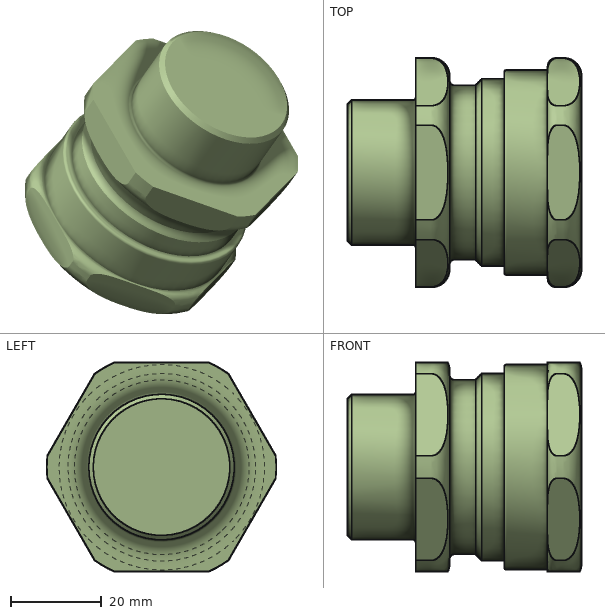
import cadquery as cq
import math

TOTAL_LENGTH = 51.5
ACROSS_FLATS = 46.0
ACROSS_CORNERS = 50.45

STUB_DIAMETER = 32.0
STUB_CHAMFER = 1.0
STUB_FILLET = 0.5
NECK_DIAMETER = 38.4
NECK_FILLET = 1.0
HEX_THICKNESS = 7.5
HEX_OUTER_ROUND = 4.0
HEX_INNER_ROUND = 2.0

COLLAR_DIAMETER = 41.25
SLEEVE_DIAMETER = 45.15
SLEEVE_ROUND = 0.55

HEX_START = 15.0
COLLAR_START = 28.15
SLEEVE_START = 34.45
HEX_END = HEX_START + HEX_THICKNESS
NUT_START = TOTAL_LENGTH - HEX_THICKNESS

COLLAR_CHAMFER = (COLLAR_DIAMETER - NECK_DIAMETER) / 2


def disc(diameter, start, end):
    """Solid cylinder along X between two stations."""
    return cq.Workplane("YZ").workplane(offset=start).circle(diameter / 2).extrude(end - start)


def hexagon(start, end):
    """Hexagonal prism along X with two flats facing up and down."""
    full_corners = ACROSS_FLATS / math.cos(math.pi / 6)
    return cq.Workplane("YZ").workplane(offset=start).polygon(6, full_corners).extrude(end - start)


def make_root_fillet(diameter, face, reach):
    """Concave ring where a shaft meets a face; the sign of reach is its direction along X."""
    shaft = diameter / 2
    radius = abs(reach)
    arc_offset = 1 - math.sqrt(0.5)
    return (
        cq.Workplane("XY")
        .moveTo(face, 0)
        .lineTo(face, shaft + radius)
        .threePointArc(
            (face + reach * arc_offset, shaft + radius * arc_offset),
            (face + reach, shaft),
        )
        .lineTo(face + reach, 0)
        .close()
        .revolve(360, (0, 0, 0), (1, 0, 0))
    )


def make_gland_body():
    hex_blank = disc(ACROSS_CORNERS, HEX_START, HEX_END).faces(">X").edges().fillet(HEX_OUTER_ROUND)
    hex_section = hex_blank.intersect(hexagon(HEX_START, HEX_END))

    stub = disc(STUB_DIAMETER, 0, HEX_START).faces("<X").edges().chamfer(STUB_CHAMFER)
    neck = disc(NECK_DIAMETER, HEX_END, COLLAR_START)
    stub_root = make_root_fillet(STUB_DIAMETER, HEX_START, -STUB_FILLET)
    neck_root = make_root_fillet(NECK_DIAMETER, HEX_END, NECK_FILLET)
    return hex_section.union(stub).union(neck).union(stub_root).union(neck_root)


def make_collar():
    return disc(COLLAR_DIAMETER, COLLAR_START, SLEEVE_START).faces("<X").edges().chamfer(COLLAR_CHAMFER)


def make_sleeve():
    return disc(SLEEVE_DIAMETER, SLEEVE_START, NUT_START).faces("<X").edges().fillet(SLEEVE_ROUND)


def make_nut():
    blank = disc(ACROSS_CORNERS, NUT_START, TOTAL_LENGTH)
    blank = blank.faces("<X").edges().fillet(HEX_INNER_ROUND)
    blank = blank.faces(">X").edges().fillet(HEX_OUTER_ROUND)
    return blank.intersect(hexagon(NUT_START, TOTAL_LENGTH))


gland_body = make_gland_body()
collar = make_collar()
sleeve = make_sleeve()
nut = make_nut()

result = cq.Compound.makeCompound([gland_body.val(), collar.val(), sleeve.val(), nut.val()])